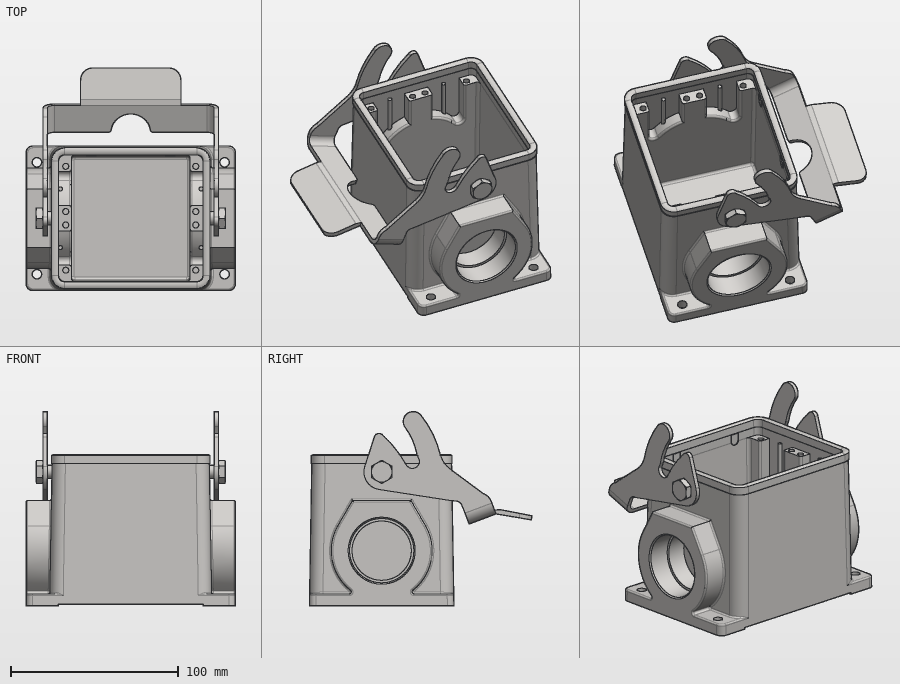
import cadquery as cq
import math

BASE_HALF_X = 48.4
BASE_HALF_Y = 43.2
DRAFT_DEGREES = 0.95
NECK_Z = 85.0
NECK_HALF_Y = BASE_HALF_Y - NECK_Z * math.tan(math.radians(DRAFT_DEGREES))
NECK_HALF_X = BASE_HALF_X - NECK_Z * math.tan(math.radians(DRAFT_DEGREES))
SHELL_RADIUS = 8.0
WALL_OVERLAP_X = NECK_HALF_X - 2.0
UNDERSIDE_RELIEF_HALF_X = 43.2
UNDERSIDE_RELIEF_DEPTH = 1.0

RIM_HALF_X = 47.4
RIM_HALF_Y = 42.1
RIM_CROWN = 0.6
RIM_TOP_Z = 90.4
RIM_EDGE_Z = RIM_TOP_Z - RIM_CROWN
RIM_WALL = 4.2
LIP_Z = 85.0
LIP_STEP = 0.2

FLOOR_Z = 4.0
CAVITY_HALF_X = 35.4
CAVITY_HALF_Y_FLOOR = 36.7
UPPER_HALF_X = RIM_HALF_X - RIM_WALL - LIP_STEP
UPPER_HALF_Y = RIM_HALF_Y - RIM_WALL - LIP_STEP
UPPER_RADIUS = 3.5
FLOOR_FILLET = 1.6
CAVITY_CORNER_FILLET = 2.0

POST_TOP_Z = 79.8
MIDDLE_POST_HALF_Y = 7.6
CORNER_POST_Y = 28.0
POCKET_FILLET = 3.0
POST_EDGE_FILLET = 1.3
POCKET_FLOOR_RADIUS = 29.5
SCREW_X = 38.8
SCREW_YS = (4.0, 31.0)
SCREW_HOLE_DIAMETER = 3.6
SCREW_HOLE_DEPTH = 15.0
ROD_DIAMETER = 2.4
ROD_X = 42.0
ROD_Y = 17.5
ROD_FOOT_Z = 52.0

LUG_X = 23.6
LUG_WIDTH = 5.6
LUG_HEIGHT = 7.0
LUG_PROTRUSION = 0.5
LUG_END_FILLET = 2.6

END_X = 62.5
FLANGE_INNER_X = 36.0
FLANGE_TOP_Z = 7.2
FLANGE_CORNER_RADIUS = 4.0
EDGE_FILLET = 1.0
SEAM_FILLET = 1.0
BOSS_FOOT_FILLET = 1.2
MOUNT_HOLE_X = 56.0
MOUNT_HOLE_Y = 33.4
MOUNT_HOLE_DIAMETER = 5.5
ENTRY_Z = 33.0
BOSS_RADIUS = 30.1
BOSS_TOP_Z = 63.0
BOSS_TOP_HALF_Y = 17.4
BOSS_TANGENT_ANGLE = math.radians(29)
ENTRY_RADIUS = 19.2
ENTRY_MOUTH_CHAMFER = 0.8
ENTRY_INNER_RADIUS = 17.7
ENTRY_STEP_DEPTH = 14.0
ENTRY_END_X = 36.4

PLATE_THICKNESS = 2.6
LEVER_HALF_X = 52.4
PIN_Z = 80.0
PIN_DIAMETER = 8.0
PIVOT_RADIUS = 10.6
HEAD_ACROSS_CORNERS = 13.9
HEAD_THICKNESS = 4.1
HEAD_CHAMFER = 0.8
BEND_RADIUS = 7.0
CROSSBAR_ANGLE = math.radians(20.5)
CROSSBAR_LENGTH = 17.2
CROSSBAR_START = (49.7, 55.4)
CROSSBAR_NOTCH_RADIUS = 11.7
CROSSBAR_NOTCH_FILLET = 2.0
TAB_HALF_X = 30.0
TAB_BEND_REACH = 3.5
TAB_TIP_Y = 89.82
TAB_TIP_Z = 53.85
TAB_ANGLE = math.radians(11)
TAB_CORNER_RADIUS = 7.5
HOOK_CENTRE = (18.8, 110.06)
HOOK_RADIUS = 6.0
HOOK_INNER_ANGLE = math.radians(210)
HOOK_OUTER_ANGLE = math.radians(36)
BEAK_CENTRE = (-1.6, 100.0)
BEAK_RADIUS = 3.0
BEAK_SLOPE_ANGLE = math.radians(42)
BEAK_EDGE_ANGLE = math.radians(17)
LOWER_EDGE_ANGLE = math.radians(8.75)

BEAK_SLOPE_MID = (5.6, 97.0)
SLOT_MOUTH_LOW = (14.5, 84.5)
SLOT_BOTTOM = (18.4, 82.1)
SLOT_SIDE = (22.4, 87.2)
HOOK_INNER_FOOT = (21.0, 90.4)
HOOK_INNER_MID = (18.5, 98.6)
HOOK_BACK_MID = (29.9, 104.0)
HOOK_BACK_FOOT = (35.1, 90.0)
SHOULDER_MID = (37.2, 85.6)
SHOULDER_END = (40.8, 81.8)
UPPER_EDGE_END = (60.5, 67.2)
UPPER_EDGE_MID = (63.9, 64.9)
HEEL_START = (47.6, 60.4)
HEEL_MID = (46.3, 61.9)
HEEL_END = (43.8, 62.5)

SIDES = (-1, 1)
SELECT_MARGIN = 0.1


def box_between(x0, x1, y0, y1, z0, z1):
    """Axis-aligned box given by its limits."""
    return cq.Workplane("XY").box(x1 - x0, y1 - y0, z1 - z0, centered=False).translate((x0, y0, z0))


def rounded_block(half_x, half_y, radius, z0, z1):
    """Upright block with rounded vertical edges, centred on the Z axis."""
    block = box_between(-half_x, half_x, -half_y, half_y, z0, z1)
    return block.edges("|Z").fillet(radius)


def drafted_block(half_x, half_y, height):
    """Block standing on Z = 0 whose four sides lean inwards by the draft angle."""
    return cq.Workplane("XY").rect(2 * half_x, 2 * half_y).extrude(height, taper=DRAFT_DEGREES)


def point_on(centre, radius, angle):
    """Point at an angle on a circle."""
    return (centre[0] + radius * math.cos(angle), centre[1] + radius * math.sin(angle))


def make_shell():
    """Drafted outer body with the slightly wider, crowned rim."""
    shell = drafted_block(BASE_HALF_X, BASE_HALF_Y, NECK_Z)
    shell = shell.faces("not |Z").edges("not |X").edges("not |Y").fillet(SHELL_RADIUS)
    rim = rounded_block(RIM_HALF_X, RIM_HALF_Y, SHELL_RADIUS, NECK_Z, RIM_EDGE_Z)
    path = rim.faces(">Z").wires()
    crown = (
        cq.Workplane("XZ")
        .moveTo(RIM_HALF_X, RIM_EDGE_Z)
        .threePointArc((RIM_HALF_X - RIM_WALL / 2, RIM_TOP_Z), (RIM_HALF_X - RIM_WALL, RIM_EDGE_Z))
        .close()
        .sweep(path)
    )
    return shell.union(rim).union(crown)


def make_boss():
    """Cable-entry boss at the +X end: round, with a flat top and fillets down to the flange."""
    shoulder_y, shoulder_z = point_on((0, ENTRY_Z), BOSS_RADIUS, BOSS_TANGENT_ANGLE)
    fillet_z = FLANGE_TOP_Z + BOSS_FOOT_FILLET
    reach = BOSS_RADIUS + BOSS_FOOT_FILLET
    fillet_y = math.sqrt(reach**2 - (ENTRY_Z - fillet_z) ** 2)
    drop_angle = math.asin((ENTRY_Z - fillet_z) / reach)
    waist_y, waist_z = point_on((0, ENTRY_Z), BOSS_RADIUS, -drop_angle)
    mid_angle = (math.pi - drop_angle + 1.5 * math.pi) / 2
    mid_y, mid_z = point_on((fillet_y, fillet_z), BOSS_FOOT_FILLET, mid_angle)
    boss = (
        cq.Workplane("YZ", origin=(WALL_OVERLAP_X, 0, 0))
        .moveTo(-fillet_y, 0)
        .lineTo(fillet_y, 0)
        .lineTo(fillet_y, FLANGE_TOP_Z)
        .threePointArc((mid_y, mid_z), (waist_y, waist_z))
        .threePointArc((BOSS_RADIUS, ENTRY_Z), (shoulder_y, shoulder_z))
        .lineTo(BOSS_TOP_HALF_Y, BOSS_TOP_Z)
        .lineTo(-BOSS_TOP_HALF_Y, BOSS_TOP_Z)
        .lineTo(-shoulder_y, shoulder_z)
        .threePointArc((-BOSS_RADIUS, ENTRY_Z), (-waist_y, waist_z))
        .threePointArc((-mid_y, mid_z), (-fillet_y, FLANGE_TOP_Z))
        .close()
        .extrude(END_X - WALL_OVERLAP_X)
    )
    return boss


def make_end():
    """Mounting flange and cable-entry boss at the +X end."""
    flange = drafted_block(2 * END_X, BASE_HALF_Y, FLANGE_TOP_Z)
    flange = flange.intersect(box_between(FLANGE_INNER_X, END_X, -BASE_HALF_Y, BASE_HALF_Y, 0, FLANGE_TOP_Z))
    flange = flange.edges(">X").edges("not |Y").fillet(FLANGE_CORNER_RADIUS)
    end = flange.union(make_boss())
    return end.faces(">X").edges("not(<Z)").fillet(EDGE_FILLET)


def make_outside():
    """Shell with both ends, filleted where the bosses meet the shell."""
    end = make_end()
    outside = make_shell().union(end).union(end.mirror("YZ"))
    for side in SIDES:
        near_x, far_x = sorted((side * (NECK_HALF_X - SELECT_MARGIN), side * (BASE_HALF_X + SELECT_MARGIN)))
        seam = cq.selectors.BoxSelector(
            (near_x, SHELL_RADIUS - NECK_HALF_Y, FLANGE_TOP_Z - SELECT_MARGIN),
            (far_x, NECK_HALF_Y - SHELL_RADIUS, BOSS_TOP_Z + SELECT_MARGIN),
        )
        outside = outside.edges(seam).fillet(SEAM_FILLET)
    return outside


def make_cavity():
    """Main cavity down to the floor, widening above the posts and once more at the lip."""
    lower = (
        cq.Workplane("YZ", origin=(-CAVITY_HALF_X, 0, 0))
        .moveTo(-CAVITY_HALF_Y_FLOOR, FLOOR_Z)
        .lineTo(CAVITY_HALF_Y_FLOOR, FLOOR_Z)
        .lineTo(UPPER_HALF_Y, POST_TOP_Z)
        .lineTo(-UPPER_HALF_Y, POST_TOP_Z)
        .close()
        .extrude(2 * CAVITY_HALF_X)
        .faces("<X or >X")
        .edges("not |Y")
        .fillet(CAVITY_CORNER_FILLET)
        .faces("<Z")
        .edges()
        .fillet(FLOOR_FILLET)
    )
    upper = rounded_block(UPPER_HALF_X, UPPER_HALF_Y, UPPER_RADIUS, POST_TOP_Z, LIP_Z)
    lip_radius = UPPER_RADIUS + LIP_STEP
    lip = rounded_block(UPPER_HALF_X + LIP_STEP, UPPER_HALF_Y + LIP_STEP, lip_radius, LIP_Z, RIM_TOP_Z)
    return lower.union(upper).union(lip)


def make_post_pocket():
    """Pocket between the middle post and the +Y corner post in the +X wall."""
    fillet_y = CORNER_POST_Y - POCKET_FILLET
    reach = POCKET_FLOOR_RADIUS + POCKET_FILLET
    angle = math.acos(fillet_y / reach)
    centre = (0, ENTRY_Z)
    fillet_z = ENTRY_Z + reach * math.sin(angle)
    fillet_mid = point_on((fillet_y, fillet_z), POCKET_FILLET, (angle - math.pi) / 2)
    floor_end = point_on(centre, POCKET_FLOOR_RADIUS, angle)
    start_angle = math.acos(MIDDLE_POST_HALF_Y / POCKET_FLOOR_RADIUS)
    floor_start = point_on(centre, POCKET_FLOOR_RADIUS, start_angle)
    floor_mid = point_on(centre, POCKET_FLOOR_RADIUS, (angle + start_angle) / 2)
    return (
        cq.Workplane("YZ", origin=(CAVITY_HALF_X, 0, 0))
        .moveTo(MIDDLE_POST_HALF_Y, POST_TOP_Z)
        .lineTo(*floor_start)
        .threePointArc(floor_mid, floor_end)
        .threePointArc(fillet_mid, (CORNER_POST_Y, fillet_z))
        .lineTo(CORNER_POST_Y, POST_TOP_Z)
        .close()
        .extrude(UPPER_HALF_X - CAVITY_HALF_X)
    )


def mirrored_four(shape):
    """Shape repeated in the four quadrants of the plan."""
    pair = shape.union(shape.mirror("XZ"))
    return pair.union(pair.mirror("YZ"))


def make_screw_holes():
    """Screw holes of one middle post half and one corner post."""
    return (
        cq.Workplane("XY", origin=(0, 0, POST_TOP_Z))
        .pushPoints([(SCREW_X, y) for y in SCREW_YS])
        .circle(SCREW_HOLE_DIAMETER / 2)
        .extrude(-SCREW_HOLE_DEPTH)
    )


def make_rod():
    """Thin rod half sunk in the end wall, standing on the pocket floor."""
    rod = cq.Workplane("XY", origin=(ROD_X, ROD_Y, ROD_FOOT_Z))
    return rod.circle(ROD_DIAMETER / 2).extrude(POST_TOP_Z - ROD_FOOT_Z)


def make_lug(x):
    """Shallow lug hanging from the lip step on the +Y wall, rounded at its lower end."""
    half_width = LUG_WIDTH / 2
    lug_y = UPPER_HALF_Y - LUG_PROTRUSION
    lug = box_between(x - half_width, x + half_width, lug_y, NECK_HALF_Y, LIP_Z - LUG_HEIGHT, LIP_Z)
    return lug.edges("|Y and <Z").fillet(LUG_END_FILLET)


def cut_inside(body):
    """Cavity, post pockets with their rods, screw holes and wall lugs."""
    body = body.cut(make_cavity())
    body = body.cut(mirrored_four(make_post_pocket()))
    limit_x = CAVITY_HALF_X + SELECT_MARGIN
    limit_y = CORNER_POST_Y + SELECT_MARGIN
    mouths = cq.selectors.BoxSelector((-limit_x, -limit_y, ROD_FOOT_Z), (limit_x, limit_y, POST_TOP_Z))
    body = body.edges("|Z").edges(mouths).fillet(POST_EDGE_FILLET)
    body = body.cut(mirrored_four(make_screw_holes()))
    body = body.union(mirrored_four(make_rod()))
    for side in SIDES:
        body = body.union(make_lug(side * LUG_X))
    return body


def cut_entries(body):
    """Blind stepped cable entries in both bosses."""
    step_x = END_X - ENTRY_STEP_DEPTH
    inner = cq.Workplane("YZ", origin=(ENTRY_END_X, 0, ENTRY_Z)).circle(ENTRY_INNER_RADIUS)
    outer = cq.Workplane("YZ", origin=(step_x, 0, ENTRY_Z)).circle(ENTRY_RADIUS)
    outer = outer.extrude(END_X - step_x)
    mouth = (
        cq.Workplane("YZ", origin=(END_X, 0, ENTRY_Z))
        .circle(ENTRY_RADIUS + ENTRY_MOUTH_CHAMFER)
        .extrude(-ENTRY_MOUTH_CHAMFER, taper=45)
    )
    entry = inner.extrude(END_X - ENTRY_END_X).union(outer).union(mouth)
    return body.cut(entry).cut(entry.mirror("YZ"))


def cut_base(body):
    """Mounting holes through the flanges and the relief across the underside."""
    holes = (
        cq.Workplane("XY")
        .rect(2 * MOUNT_HOLE_X, 2 * MOUNT_HOLE_Y, forConstruction=True)
        .vertices()
        .circle(MOUNT_HOLE_DIAMETER / 2)
        .extrude(FLANGE_TOP_Z)
    )
    half_x = UNDERSIDE_RELIEF_HALF_X
    relief = box_between(-half_x, half_x, -BASE_HALF_Y, BASE_HALF_Y, 0, UNDERSIDE_RELIEF_DEPTH)
    return body.cut(holes).cut(relief)


def make_lever_arm():
    """Side plate of the lever at +X, with hook, slot, beak and pivot end."""
    pivot = (0, PIN_Z)
    pivot_start_angle = 1.5 * math.pi - LOWER_EDGE_ANGLE
    pivot_end_angle = math.pi - BEAK_EDGE_ANGLE
    pivot_low = point_on(pivot, PIVOT_RADIUS, pivot_start_angle)
    pivot_mid = point_on(pivot, PIVOT_RADIUS, (pivot_start_angle + pivot_end_angle) / 2)
    pivot_high = point_on(pivot, PIVOT_RADIUS, pivot_end_angle)
    beak_start = point_on(BEAK_CENTRE, BEAK_RADIUS, pivot_end_angle)
    beak_mid = point_on(BEAK_CENTRE, BEAK_RADIUS, (pivot_end_angle + BEAK_SLOPE_ANGLE) / 2)
    beak_end = point_on(BEAK_CENTRE, BEAK_RADIUS, BEAK_SLOPE_ANGLE)
    hook_start = point_on(HOOK_CENTRE, HOOK_RADIUS, HOOK_INNER_ANGLE)
    hook_top = point_on(HOOK_CENTRE, HOOK_RADIUS, math.pi / 2)
    hook_end = point_on(HOOK_CENTRE, HOOK_RADIUS, HOOK_OUTER_ANGLE)
    return (
        cq.Workplane("YZ", origin=(LEVER_HALF_X - PLATE_THICKNESS, 0, 0))
        .moveTo(*pivot_low)
        .threePointArc(pivot_mid, pivot_high)
        .lineTo(*beak_start)
        .threePointArc(beak_mid, beak_end)
        .threePointArc(BEAK_SLOPE_MID, SLOT_MOUTH_LOW)
        .threePointArc(SLOT_BOTTOM, SLOT_SIDE)
        .lineTo(*HOOK_INNER_FOOT)
        .threePointArc(HOOK_INNER_MID, hook_start)
        .threePointArc(hook_top, hook_end)
        .threePointArc(HOOK_BACK_MID, HOOK_BACK_FOOT)
        .threePointArc(SHOULDER_MID, SHOULDER_END)
        .lineTo(*UPPER_EDGE_END)
        .threePointArc(UPPER_EDGE_MID, crossbar_point(CROSSBAR_LENGTH, 0))
        .lineTo(*CROSSBAR_START)
        .lineTo(*HEEL_START)
        .threePointArc(HEEL_MID, HEEL_END)
        .close()
        .extrude(PLATE_THICKNESS)
    )


def crossbar_point(along, below):
    """(Y, Z) of a point given along the crossbar width and perpendicularly below the bend lines."""
    y, z = CROSSBAR_START
    cosine = math.cos(CROSSBAR_ANGLE)
    sine = math.sin(CROSSBAR_ANGLE)
    return (y + along * cosine + below * sine, z + along * sine - below * cosine)


def make_crossbar():
    """Plate joining the two arms through rounded bends, with a half-round notch."""
    plane = cq.Plane(
        origin=(0, *CROSSBAR_START),
        xDir=(1, 0, 0),
        normal=(0, math.cos(CROSSBAR_ANGLE), math.sin(CROSSBAR_ANGLE)),
    )
    inner_radius = BEND_RADIUS - PLATE_THICKNESS
    inner_half_x = LEVER_HALF_X - PLATE_THICKNESS
    bend_x = LEVER_HALF_X - BEND_RADIUS
    diagonal = math.sqrt(0.5)
    outer_mid = (bend_x + BEND_RADIUS * diagonal, BEND_RADIUS * diagonal)
    inner_mid = (bend_x + inner_radius * diagonal, inner_radius * diagonal)
    bar = (
        cq.Workplane(plane)
        .moveTo(LEVER_HALF_X, 0)
        .threePointArc(outer_mid, (bend_x, BEND_RADIUS))
        .lineTo(-bend_x, BEND_RADIUS)
        .threePointArc((-outer_mid[0], outer_mid[1]), (-LEVER_HALF_X, 0))
        .lineTo(-inner_half_x, 0)
        .threePointArc((-inner_mid[0], inner_mid[1]), (-bend_x, inner_radius))
        .lineTo(bend_x, inner_radius)
        .threePointArc(inner_mid, (inner_half_x, 0))
        .close()
        .extrude(CROSSBAR_LENGTH)
    )
    notch_plane = cq.Plane(
        origin=(0, *CROSSBAR_START),
        xDir=(1, 0, 0),
        normal=(0, math.sin(CROSSBAR_ANGLE), -math.cos(CROSSBAR_ANGLE)),
    )
    notch = cq.Workplane(notch_plane).circle(CROSSBAR_NOTCH_RADIUS).extrude(2 * BEND_RADIUS)
    bar = bar.cut(notch)
    edge_y, edge_z = crossbar_point(0, BEND_RADIUS - PLATE_THICKNESS / 2)
    reach = PLATE_THICKNESS
    notch_corners = cq.selectors.BoxSelector(
        (-CROSSBAR_NOTCH_RADIUS - reach, edge_y - reach, edge_z - reach),
        (CROSSBAR_NOTCH_RADIUS + reach, edge_y + reach, edge_z + reach),
    )
    across = cq.selectors.ParallelDirSelector(notch_plane.zDir)
    return bar.edges(across).edges(notch_corners).fillet(CROSSBAR_NOTCH_FILLET)


def make_tab():
    """Finger tab running out from the upper edge of the crossbar."""
    thickness_y = PLATE_THICKNESS * math.sin(TAB_ANGLE)
    thickness_z = PLATE_THICKNESS * math.cos(TAB_ANGLE)
    inner = crossbar_point(CROSSBAR_LENGTH, BEND_RADIUS - PLATE_THICKNESS)
    outer = crossbar_point(CROSSBAR_LENGTH, BEND_RADIUS)
    top_y = inner[0] + TAB_BEND_REACH
    top_z = TAB_TIP_Z + (TAB_TIP_Y - top_y) * math.tan(TAB_ANGLE)
    tab = (
        cq.Workplane("YZ", origin=(-TAB_HALF_X, 0, 0))
        .moveTo(*outer)
        .lineTo(TAB_TIP_Y - thickness_y, TAB_TIP_Z - thickness_z)
        .lineTo(TAB_TIP_Y, TAB_TIP_Z)
        .lineTo(top_y, top_z)
        .lineTo(*inner)
        .close()
        .extrude(2 * TAB_HALF_X)
    )
    outline = box_between(-TAB_HALF_X, TAB_HALF_X, 0, TAB_TIP_Y, 0, RIM_TOP_Z)
    return tab.intersect(outline.edges("|Z and >Y").fillet(TAB_CORNER_RADIUS))


def make_pivot():
    """Pivot pin with its chamfered hexagon head at +X."""
    pin = cq.Workplane("YZ", origin=(WALL_OVERLAP_X, 0, PIN_Z)).circle(PIN_DIAMETER / 2)
    pin = pin.extrude(LEVER_HALF_X - WALL_OVERLAP_X)
    head_plane = cq.Workplane("YZ", origin=(LEVER_HALF_X, 0, PIN_Z))
    head = head_plane.transformed(rotate=(0, 0, 90)).polygon(6, HEAD_ACROSS_CORNERS).extrude(HEAD_THICKNESS)
    crown = head_plane.circle(HEAD_ACROSS_CORNERS / 2).extrude(HEAD_THICKNESS)
    crown = crown.edges().chamfer(HEAD_CHAMFER / 2, HEAD_CHAMFER)
    return pin.union(head.intersect(crown))


def make_lever():
    """Complete lever with its two pivots."""
    arm = make_lever_arm()
    pivot = make_pivot()
    lever = make_crossbar().union(make_tab())
    for piece in (arm, pivot):
        lever = lever.union(piece).union(piece.mirror("YZ"))
    return lever


housing = cut_base(cut_entries(cut_inside(make_outside())))
result = housing.union(make_lever())